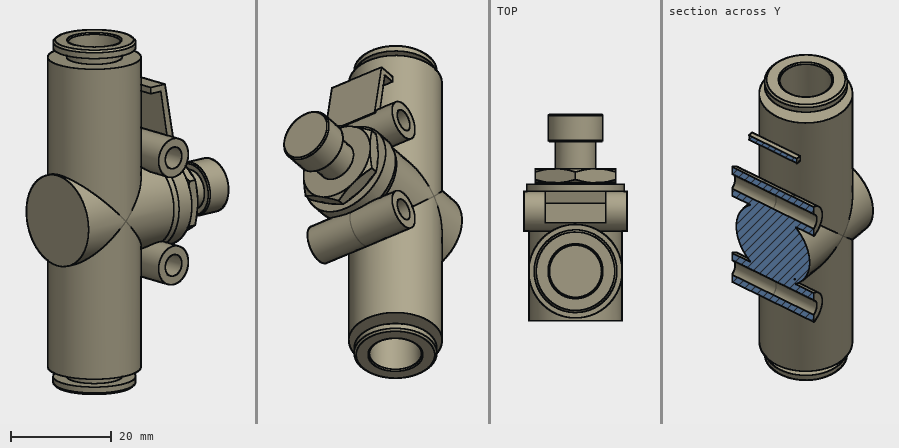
import cadquery as cq

overall_length = 70.8
tube_radius = 9.3
tube_length = 63.7
collar_neck_radius = 5.5
collar_flange_radius = 8.2
collar_flange_thickness = 1.6
collar_edge_chamfer = 0.4
bore_radius = 5.2
bore_depth = 17.7
bore_edge_chamfer = 0.3

branch_front = -9.85
taper_start = 12.9
rim_start = 13.9
rim_end = 17.3
rim_radius = 9.7
nut_start = 17.55
nut_end = 20.3
stem_radius = 4.05
knob_start = 25.7
knob_end = 31.15
knob_radius = 5.45
knob_chamfer = 0.3

nut_across_corners = 18.55
nut_face_radius = 8.1
nut_chamfer_height = 0.65

lug_length = 20.5
lug_radius = 4.0
lug_hole_radius = 2.2
lug_y = 11.9
lug_z = 11.05

clip_width = 12.05
clip_top = 25.05
clip_lip_thickness = 1.3
clip_lip_end_y = 9.6
clip_bend_outer_y = 13.45
clip_bend_inner_y = 12.3
clip_foot_outer_y = 15.85
clip_foot_inner_y = 14.3
clip_foot_z = 12.4


def y_cylinder(radius, start, end):
    """Cylinder on the Y axis between two stations."""
    return cq.Workplane("XZ", origin=(0, start, 0)).circle(radius).extrude(start - end)


def x_cylinder(radius, y, z):
    """Cylinder parallel to X, centred on the part, as long as the lugs."""
    return cq.Workplane("YZ").center(y, z).circle(radius).extrude(lug_length / 2, both=True)


def release_collar():
    """Necked, flanged collar at the upper end of the tube."""
    half_length = overall_length / 2
    flange_base = half_length - collar_flange_thickness
    neck = (
        cq.Workplane("XY", origin=(0, 0, tube_length / 2))
        .circle(collar_neck_radius)
        .extrude(flange_base - tube_length / 2)
    )
    flange = (
        cq.Workplane("XY", origin=(0, 0, flange_base))
        .circle(collar_flange_radius)
        .extrude(collar_flange_thickness)
        .faces(">Z")
        .chamfer(collar_edge_chamfer)
    )
    return neck.union(flange)


def port_bore():
    """Blind bore with a chamfered mouth at the upper end of the tube."""
    top = overall_length / 2
    return (
        cq.Workplane("XZ")
        .moveTo(0, top - bore_depth)
        .lineTo(bore_radius, top - bore_depth)
        .lineTo(bore_radius, top - bore_edge_chamfer)
        .lineTo(bore_radius + bore_edge_chamfer, top)
        .lineTo(0, top)
        .close()
        .revolve(360, (0, 0), (0, 1))
    )


def branch():
    """Branch body, flared rim and stem, revolved about Y."""
    return (
        cq.Workplane("XY")
        .moveTo(0, branch_front)
        .lineTo(tube_radius, branch_front)
        .lineTo(tube_radius, taper_start)
        .lineTo(rim_radius, rim_start)
        .lineTo(rim_radius, rim_end)
        .lineTo(stem_radius, rim_end)
        .lineTo(stem_radius, knob_start)
        .lineTo(0, knob_start)
        .close()
        .revolve(360, (0, 0), (0, 1))
    )


def lock_nut():
    """Hexagonal nut with corners on Z, both faces turned to a cone."""
    hexagon = (
        cq.Workplane("XZ", origin=(0, nut_start, 0))
        .transformed(rotate=(0, 0, 90))
        .polygon(6, nut_across_corners)
        .extrude(nut_start - nut_end)
    )
    corner_radius = nut_across_corners / 2
    turned_blank = (
        cq.Workplane("XY")
        .moveTo(0, nut_start)
        .lineTo(nut_face_radius, nut_start)
        .lineTo(corner_radius, nut_start + nut_chamfer_height)
        .lineTo(corner_radius, nut_end - nut_chamfer_height)
        .lineTo(nut_face_radius, nut_end)
        .lineTo(0, nut_end)
        .close()
        .revolve(360, (0, 0), (0, 1))
    )
    return hexagon.intersect(turned_blank)


def spring_clip():
    """Leaning arm with a lip bent toward the tube."""
    lip_underside = clip_top - clip_lip_thickness
    return (
        cq.Workplane("YZ")
        .moveTo(clip_lip_end_y, clip_top)
        .lineTo(clip_bend_outer_y, clip_top)
        .lineTo(clip_foot_outer_y, clip_foot_z)
        .lineTo(clip_foot_inner_y, clip_foot_z)
        .lineTo(clip_bend_inner_y, lip_underside)
        .lineTo(clip_lip_end_y, lip_underside)
        .close()
        .extrude(clip_width / 2, both=True)
    )


knob = y_cylinder(knob_radius, knob_start, knob_end).edges().chamfer(knob_chamfer)
tube = cq.Workplane("XY").circle(tube_radius).extrude(tube_length / 2, both=True)

result = tube.union(branch()).union(lock_nut()).union(knob).union(spring_clip())

for side in (1, -1):
    result = result.union(x_cylinder(lug_radius, lug_y, side * lug_z))

for side in (1, -1):
    result = result.cut(x_cylinder(lug_hole_radius, lug_y, side * lug_z))

for turn in (0, 180):
    collar = release_collar().rotate((0, 0, 0), (0, 1, 0), turn)
    bore = port_bore().rotate((0, 0, 0), (0, 1, 0), turn)
    result = result.union(collar).cut(bore)